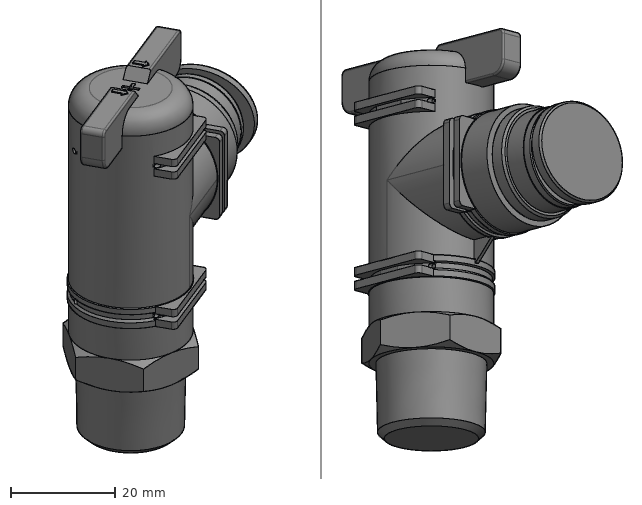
import cadquery as cq
import math


total_height = 77.3
body_radius = 12.0
branch_height = 49.1
arm_length = 27.1
dome_top = 75.0
dome_round = 4.0
body_top = dome_top - dome_round
adapter_top = branch_height - arm_length

port_joint_distance = 18.0
knob_joint_distance = 14.85
tab_reach = 12.45
tab_half_width = 9.0
tab_corner_radius = 0.9
joint_half_length = 2.2
slot_half_length = 0.58
pin_hole_diameter = 1.0
pin_hole_offset = 8.4
pin_hole_end = 7.7
ring_radius = 12.2
ring_half_length = 2.1
ring_bevel = 0.15
ring_core_radius = body_radius - 0.8
groove_radius = 11.75
groove_inner_top = -0.9
groove_inner_bottom = -0.7
groove_outer_bottom = 0.4
groove_outer_top = 0.85

web_thickness = 0.8
web_top_reach = 17.0
web_low_height = 32.5

hex_flats = 2 * body_radius
hex_bottom = 14.9
hex_chamfer_angle = 30.0
thread_top_radius = 10.7
thread_low_radius = 10.35
thread_end_radius = 9.05
thread_chamfer_height = 1.2

flange_diameter = 22.0
flange_end = 30.6
flange_chamfer = 0.5
sleeve_diameter = 20.0
sleeve_end = 35.0
cap_diameter = 19.7
cap_end = 36.9
cap_chamfer = 0.2
neck_diameter = 14.2
button_start = 38.7
button_end = 41.0
button_width = 22.65
button_height = 19.7
button_chamfer = 0.4

handle_reach = 22.0
handle_width = 4.95
handle_bottom = 68.0
mark_height = 0.2
handle_top = total_height - mark_height
handle_inner_end = 2.55
handle_top_corner = 1.15
handle_low_corner = 2.8
handle_edge_round = 0.4
arrow_distance = 6.0
arrow_length = 3.2
arrow_head_length = 1.0
arrow_head_width = 2.2
arrow_shaft_width = 0.9
cross_half_length = 1.8
cross_width = 0.7

x_axis = (1, 0, 0)
port_plane = cq.Plane((0, 0, branch_height - port_joint_distance), x_axis, (0, 0, -1))
branch_plane = cq.Plane((0, port_joint_distance, branch_height), x_axis, (0, 1, 0))
knob_plane = cq.Plane((0, 0, branch_height + knob_joint_distance), x_axis, (0, 0, 1))


def placed(solid, plane):
    """Move a solid from the base axes to the axes of a plane."""
    return cq.Workplane(solid.val().moved(cq.Location(plane)))


def turned(points):
    """Revolve (radius, height) points about Z."""
    return cq.Workplane("XZ").polyline(points).close().revolve(360, (0, 0, 0), (0, 1, 0))


def branch_section(start):
    """Sketch plane across the branch, facing its open end."""
    return cq.Workplane(cq.Plane((0, start, branch_height), x_axis, (0, 1, 0)))


def joint_tabs(plane):
    """Two rounded plates on the +X side with a slot between them."""
    thickness = joint_half_length - slot_half_length
    tabs = []
    for start in (slot_half_length, -joint_half_length):
        tab = (
            cq.Workplane("XY", origin=(0, 0, start))
            .box(tab_reach, 2 * tab_half_width, thickness, centered=(False, True, False))
            .edges("|Z and >X")
            .fillet(tab_corner_radius)
        )
        tabs.append(placed(tab, plane))
    return tabs


def joint_slot(plane):
    """Flat cut that carries the slot on to where the tab corners begin to round."""
    slot = cq.Workplane("XY", origin=(tab_reach - tab_corner_radius, 0, 0)).box(
        tab_reach, 2 * tab_half_width, 2 * slot_half_length, centered=(False, True, True)
    )
    return placed(slot, plane)


def joint_ring(plane):
    """Raised band around the barrel with bevelled edges and a groove in the middle."""
    ring = turned(
        [
            (ring_core_radius, -ring_half_length - ring_bevel),
            (body_radius, -ring_half_length - ring_bevel),
            (ring_radius, -ring_half_length),
            (ring_radius, groove_inner_top),
            (groove_radius, groove_inner_bottom),
            (groove_radius, groove_outer_bottom),
            (ring_radius, groove_outer_top),
            (ring_radius, ring_half_length),
            (body_radius, ring_half_length + ring_bevel),
            (ring_core_radius, ring_half_length + ring_bevel),
        ]
    )
    return placed(ring, plane)


def joint_ring_seat(plane):
    """Outer skin of the plain barrel that the ring takes the place of."""
    half_length = ring_half_length + ring_bevel
    seat = turned(
        [
            (ring_core_radius, -half_length),
            (ring_radius, -half_length),
            (ring_radius, half_length),
            (ring_core_radius, half_length),
        ]
    )
    return placed(seat, plane)


def pin_holes(plane, inner_end):
    """Holes along X, in from both sides; an inner end of zero makes them pass through."""
    holes = []
    for side in (-1, 1):
        for row in (-1, 1):
            hole = (
                cq.Workplane("YZ", origin=(side * inner_end, row * pin_hole_offset, 0))
                .circle(pin_hole_diameter / 2)
                .extrude(side * tab_reach)
            )
            holes.append(placed(hole, plane))
    return holes


def make_web():
    """Thin web with a 45 degree edge in the lower corner of the tee."""
    branch_bottom = branch_height - body_radius
    web_drop = branch_bottom - web_low_height
    return (
        cq.Workplane("YZ")
        .polyline(
            [
                (0, branch_height),
                (web_top_reach, branch_height),
                (web_top_reach, branch_bottom),
                (web_top_reach - web_drop, web_low_height),
                (0, web_low_height),
            ]
        )
        .close()
        .extrude(web_thickness / 2, both=True)
    )


def make_housing():
    barrel = (
        cq.Workplane("XY", origin=(0, 0, adapter_top))
        .circle(body_radius)
        .extrude(body_top - adapter_top)
    )
    branch = branch_section(0).circle(body_radius).extrude(arm_length)
    housing = barrel.union(branch).union(make_web())
    for plane in (port_plane, branch_plane):
        housing = housing.cut(joint_ring_seat(plane)).union(joint_ring(plane))
    for plane in (port_plane, branch_plane, knob_plane):
        for tab in joint_tabs(plane):
            housing = housing.union(tab)
        housing = housing.cut(joint_slot(plane))
    hole_ends = ((port_plane, pin_hole_end), (branch_plane, 0), (knob_plane, pin_hole_end))
    for plane, inner_end in hole_ends:
        for hole in pin_holes(plane, inner_end):
            housing = housing.cut(hole)
    return housing


def make_adapter():
    """Chamfered hexagon with a tapered thread blank below it."""
    corner_radius = hex_flats / 2 / math.cos(math.pi / 6)
    chamfer_drop = (corner_radius - body_radius) * math.tan(math.radians(hex_chamfer_angle))
    hexagon = (
        cq.Workplane("XY", origin=(0, 0, hex_bottom))
        .polygon(6, 2 * corner_radius)
        .extrude(adapter_top - hex_bottom)
    )
    chamfer_envelope = turned(
        [
            (0, hex_bottom),
            (body_radius, hex_bottom),
            (corner_radius, hex_bottom + chamfer_drop),
            (corner_radius, adapter_top - chamfer_drop),
            (body_radius, adapter_top),
            (0, adapter_top),
        ]
    )
    thread = turned(
        [
            (0, 0),
            (thread_end_radius, 0),
            (thread_low_radius, thread_chamfer_height),
            (thread_top_radius, hex_bottom),
            (0, hex_bottom),
        ]
    )
    return hexagon.intersect(chamfer_envelope).union(thread)


def make_sleeve():
    """Chamfered flange against the branch end with a plain barrel in front of it."""
    flange = (
        branch_section(arm_length)
        .circle(flange_diameter / 2)
        .extrude(flange_end - arm_length)
        .faces("<Y or >Y")
        .chamfer(flange_chamfer)
    )
    barrel = (
        branch_section(flange_end)
        .circle(sleeve_diameter / 2)
        .extrude(sleeve_end - flange_end)
    )
    return flange.union(barrel)


def make_cap():
    return (
        branch_section(sleeve_end)
        .circle(cap_diameter / 2)
        .extrude(cap_end - sleeve_end)
        .faces(">Y")
        .chamfer(cap_chamfer)
    )


def make_release_button():
    """Oval push plate on a round neck."""
    neck = (
        branch_section(cap_end)
        .circle(neck_diameter / 2)
        .extrude(button_start - cap_end)
    )
    plate = (
        branch_section(button_start)
        .ellipse(button_width / 2, button_height / 2)
        .extrude(button_end - button_start)
        .faces(">Y")
        .chamfer(button_chamfer)
    )
    return neck.union(plate)


def make_handle():
    """Bar reaching to +Y, with its inner end sloped at 45 degrees above the dome."""
    slope_run = handle_top - dome_top
    bar = (
        cq.Workplane("YZ")
        .polyline(
            [
                (handle_inner_end, handle_bottom),
                (handle_reach, handle_bottom),
                (handle_reach, handle_top),
                (handle_inner_end + slope_run, handle_top),
                (handle_inner_end, dome_top),
            ]
        )
        .close()
        .extrude(handle_width / 2, both=True)
    )
    bar = bar.edges("|X and >Y and >Z").fillet(handle_top_corner)
    bar = bar.edges("|X and >Y and <Z").fillet(handle_low_corner)
    outer_rim = cq.selectors.BoxSelector(
        (-handle_width, handle_inner_end + slope_run, handle_bottom - slope_run),
        (handle_width, handle_reach + slope_run, handle_top + slope_run),
    )
    return bar.faces("<X or >X").edges(outer_rim).fillet(handle_edge_round)


def arrow_mark():
    """Raised arrow pointing to +X on the handle."""
    tip = arrow_length / 2
    neck = tip - arrow_head_length
    head = arrow_head_width / 2
    shaft = arrow_shaft_width / 2
    return (
        cq.Workplane("XY", origin=(0, 0, handle_top))
        .polyline(
            [
                (-tip, -shaft),
                (neck, -shaft),
                (neck, -head),
                (tip, 0),
                (neck, head),
                (neck, shaft),
                (-tip, shaft),
            ]
        )
        .close()
        .extrude(mark_height)
    )


def cross_recess():
    """Cross with arms that slope down to its middle."""
    groove = (
        cq.Workplane("XZ")
        .polyline(
            [
                (-cross_half_length, dome_top),
                (cross_half_length, dome_top),
                (0, dome_top - cross_half_length),
            ]
        )
        .close()
        .extrude(cross_width / 2, both=True)
    )
    return groove.union(groove.rotate((0, 0, 0), (0, 0, 1), 90))


def make_knob():
    """Rounded dome with two opposite handles that hang down outside the barrel."""
    corner_centre = (body_radius - dome_round, dome_top - dome_round)
    arc_middle = [place + dome_round * math.sqrt(0.5) for place in corner_centre]
    knob = (
        cq.Workplane("XZ")
        .moveTo(0, body_top)
        .lineTo(body_radius, body_top)
        .threePointArc(arc_middle, (body_radius - dome_round, dome_top))
        .lineTo(0, dome_top)
        .close()
        .revolve(360, (0, 0, 0), (0, 1, 0))
    )
    barrel = cq.Workplane("XY").circle(body_radius).extrude(body_top)
    handle = make_handle().cut(barrel)
    for angle, side in ((0, 1), (180, -1)):
        arrow = arrow_mark().translate((0, side * arrow_distance, 0))
        knob = knob.union(handle.rotate((0, 0, 0), (0, 0, 1), angle)).union(arrow)
    return knob.cut(cross_recess())


housing = make_housing()
adapter = make_adapter()
sleeve = make_sleeve()
cap = make_cap()
release_button = make_release_button()
knob = make_knob()

result = cq.Compound.makeCompound(
    [
        housing.val(),
        adapter.val(),
        sleeve.val(),
        cap.val(),
        release_button.val(),
        knob.val(),
    ]
)